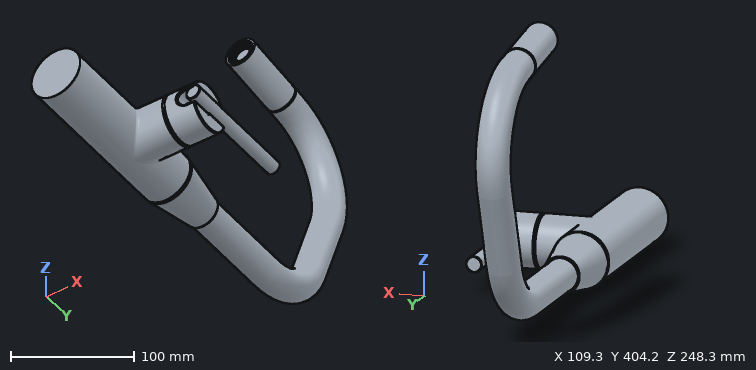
import cadquery as cq
import math

body_radius = 48.0 / 2
body_length = 158.5
stub_radius = 23.0
stub_joint_x = 49.5
stub_center_y = 105.0
stub_root_fillet = 2.0
joint_chamfer = 1.2

margin = 4.0

cap_end_x = 78.5
cap_edge_chamfer = 1.0
lever_radius = 13.5 / 2
lever_end_chamfer = 0.5
lever_start_y = stub_center_y - stub_radius
lever_end_y = 197.0
pocket_radius = 8.0
pocket_center_x = 70.7
pocket_edge_chamfer = 1.2
pocket_floor_y = stub_center_y
stem_radius = 5.5
stem_center_y = pocket_floor_y - stem_radius

cone_tip_radius = 15.5
cone_end_y = 209.8
cone_tip_chamfer = 1.0
pipe_radius = 28.5 / 2
first_bend_start_y = 300.0
first_bend_radius = 64.5
first_bend_angle = 70.0
second_bend_radius = 66.3
second_bend_angle = 102.0
middle_length = 74.0
nozzle_run = 70.7

spray_length = 58.5
spray_seam_width = 1.0
spray_seam_depth = 0.5
outlet_radius = 11.7
outlet_step_count = 5
outlet_step_width = 1.2
outlet_step_depth = 1.0


def rod_along_x(radius, start_x, end_x, center_y):
    plane = cq.Workplane("YZ", origin=(start_x, center_y, 0))
    return plane.circle(radius).extrude(end_x - start_x)


def rod_along_y(radius, start_y, end_y, center_x=0):
    plane = cq.Workplane("XZ", origin=(center_x, start_y, 0))
    return plane.circle(radius).extrude(start_y - end_y)


def make_body():
    barrel = rod_along_y(body_radius, 0, body_length).faces(">Y").chamfer(joint_chamfer)
    stub = rod_along_x(stub_radius, 0, stub_joint_x, stub_center_y)
    stub = stub.faces(">X").chamfer(joint_chamfer)
    body = barrel.union(stub)

    root_box = cq.selectors.BoxSelector(
        (0, stub_center_y - stub_radius - margin, -body_radius),
        (body_radius + margin, stub_center_y + stub_radius + margin, body_radius),
    )
    return body.edges(root_box).fillet(stub_root_fillet)


def make_handle():
    cap = rod_along_x(stub_radius, stub_joint_x, cap_end_x, stub_center_y)
    cap = cap.faces("<X").chamfer(joint_chamfer).faces(">X").chamfer(cap_edge_chamfer)

    pocket = rod_along_y(pocket_radius, lever_start_y, pocket_floor_y, pocket_center_x)
    opening_length = cap_end_x - pocket_center_x
    pocket_depth = pocket_floor_y - lever_start_y
    opening = cq.Workplane("XY").box(
        opening_length, pocket_depth, 2 * pocket_radius, centered=(False, False, True)
    ).translate((pocket_center_x, lever_start_y, 0))

    lever = rod_along_y(lever_radius, lever_start_y, lever_end_y, cap_end_x)
    lever = lever.faces("<Y or >Y").chamfer(lever_end_chamfer)
    stem = rod_along_x(stem_radius, pocket_center_x - pocket_radius, cap_end_x, stem_center_y)
    cap = cap.cut(pocket.union(opening))

    mouth_box = cq.selectors.BoxSelector(
        (pocket_center_x - pocket_radius - margin, lever_start_y - margin, -pocket_radius - margin),
        (cap_end_x - cap_edge_chamfer, lever_start_y + margin, pocket_radius + margin),
    )
    cap = cap.edges(mouth_box).chamfer(pocket_edge_chamfer)
    return cap.union(lever).union(stem)


def heading(angle):
    return cq.Vector(0, math.cos(math.radians(angle)), math.sin(math.radians(angle)))


def bend_point(start, start_angle, turn, radius):
    """Point reached after turning by `turn` degrees along an arc from `start`."""
    center = start + heading(start_angle + 90) * radius
    return center + heading(start_angle + turn - 90) * radius


def make_spout():
    cone = (
        cq.Workplane("XZ", origin=(0, body_length, 0))
        .circle(body_radius)
        .workplane(offset=body_length - cone_end_y)
        .circle(cone_tip_radius)
        .loft()
    )
    cone = cone.faces("<Y").chamfer(joint_chamfer).faces(">Y").chamfer(cone_tip_chamfer)

    nozzle_angle = first_bend_angle + second_bend_angle
    pipe_start = cq.Vector(0, body_length, 0)
    bend_1_start = cq.Vector(0, first_bend_start_y, 0)
    bend_1_mid = bend_point(bend_1_start, 0, first_bend_angle / 2, first_bend_radius)
    bend_1_end = bend_point(bend_1_start, 0, first_bend_angle, first_bend_radius)
    bend_2_start = bend_1_end + heading(first_bend_angle) * middle_length
    bend_2_mid = bend_point(bend_2_start, first_bend_angle, second_bend_angle / 2, second_bend_radius)
    bend_2_end = bend_point(bend_2_start, first_bend_angle, second_bend_angle, second_bend_radius)
    nozzle_tip = bend_2_end + heading(nozzle_angle) * nozzle_run

    path = cq.Workplane(
        cq.Wire.assembleEdges(
            [
                cq.Edge.makeLine(pipe_start, bend_1_start),
                cq.Edge.makeThreePointArc(bend_1_start, bend_1_mid, bend_1_end),
                cq.Edge.makeLine(bend_1_end, bend_2_start),
                cq.Edge.makeThreePointArc(bend_2_start, bend_2_mid, bend_2_end),
                cq.Edge.makeLine(bend_2_end, nozzle_tip),
            ]
        )
    )
    pipe = cq.Workplane("XZ", origin=pipe_start.toTuple()).circle(pipe_radius).sweep(path)

    inward = heading(nozzle_angle + 180)
    nozzle_plane = cq.Plane(origin=nozzle_tip, xDir=(1, 0, 0), normal=inward)
    for step in range(outlet_step_count):
        radius = outlet_radius - step * outlet_step_width
        depth = (step + 1) * outlet_step_depth
        pipe = pipe.cut(cq.Workplane(nozzle_plane).circle(radius).extrude(depth))
    seam = (
        cq.Workplane(nozzle_plane)
        .workplane(offset=spray_length)
        .circle(pipe_radius + margin)
        .circle(pipe_radius - spray_seam_depth)
        .extrude(spray_seam_width)
    )
    return cone.union(pipe.cut(seam))


body = make_body()
handle = make_handle()
spout = make_spout()

result = cq.Compound.makeCompound([body.val(), handle.val(), spout.val()])